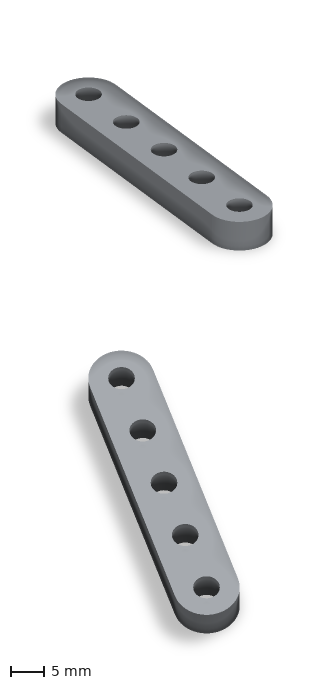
import cadquery as cq

length = 50
width = 10
thickness = 5
hole_diameter = 4
hole_count = 5

hole_pitch = (length - width) / (hole_count - 1)

bar = cq.Workplane("XY").slot2D(length, width).extrude(thickness)

result = (
    bar.faces(">Z")
    .workplane()
    .rarray(hole_pitch, width, hole_count, 1)
    .hole(hole_diameter)
)